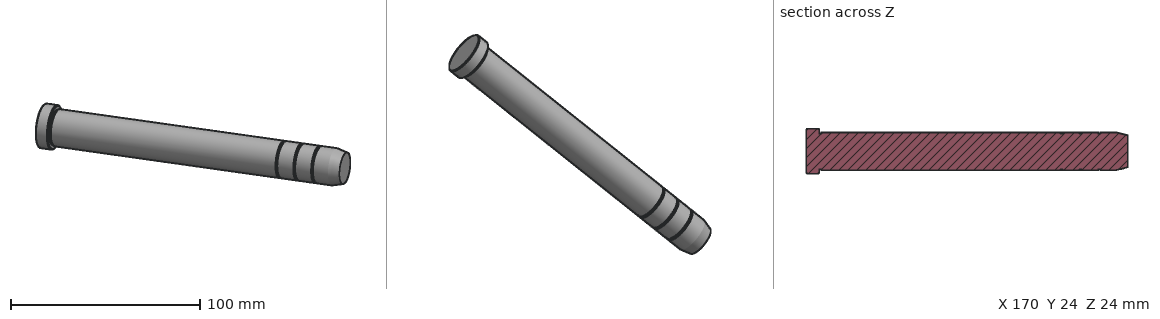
import cadquery as cq

total_length = 170.0
head_diameter = 24.0
head_length = 7.0
head_edge = 0.5
shank_diameter = 20.0

relief_width = 1.0
groove_depth = 0.5

groove_width = 1.0
groove_pitch = 10.0
groove_count = 3
first_groove_start = 134.5

tip_length = 6.0
tip_drop = 1.5


def cylinder_along_x(start, length, diameter):
    """Solid round bar on the X axis."""
    return cq.Workplane("YZ", origin=(start, 0, 0)).circle(diameter / 2).extrude(length)


def ring_cutter(start, width):
    """Ring that cuts a groove into the shank."""
    outer = cylinder_along_x(start, width, shank_diameter)
    core = cylinder_along_x(start, width, shank_diameter - 2 * groove_depth)
    return outer.cut(core)


head = cylinder_along_x(0, head_length, head_diameter).edges().chamfer(head_edge)

shank = cylinder_along_x(head_length, total_length - head_length, shank_diameter)
shank = shank.faces(">X").chamfer(tip_length, tip_drop)

shank = shank.cut(ring_cutter(head_length, relief_width))
for index in range(groove_count):
    shank = shank.cut(ring_cutter(first_groove_start + index * groove_pitch, groove_width))

result = head.union(shank)